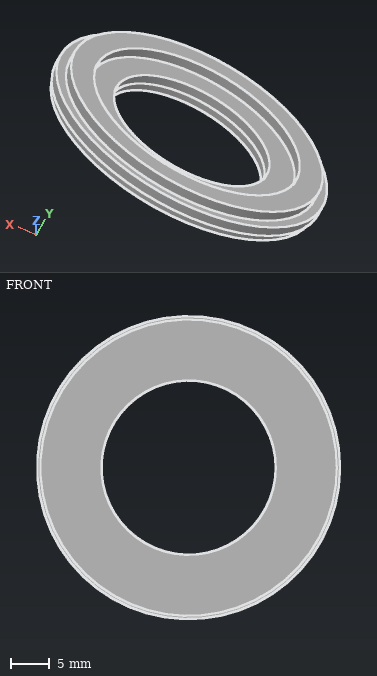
import cadquery as cq

outer_diameter = 39.0
bore_diameter = 22.4

front_diameter = 38.15
front_thickness = 1.15

middle_thickness = 1.4

rear_diameter = 36.27
rear_bore_diameter = 29.65
rear_thickness = 1.5

front_start = 0.0
middle_start = front_start + front_thickness
rear_start = middle_start + middle_thickness


def make_ring(diameter, inner_diameter, thickness, start):
    """Flat ring around the Y axis that runs from y = start towards +Y."""
    return (
        cq.Workplane("XZ", origin=(0, start, 0))
        .circle(diameter / 2)
        .circle(inner_diameter / 2)
        .extrude(-thickness)
    )


front_plate = make_ring(front_diameter, bore_diameter, front_thickness, front_start)

middle_flange = make_ring(outer_diameter, bore_diameter, middle_thickness, middle_start)

rear_rim = make_ring(rear_diameter, rear_bore_diameter, rear_thickness, rear_start)

result = cq.Compound.makeCompound([front_plate.val(), middle_flange.val(), rear_rim.val()])